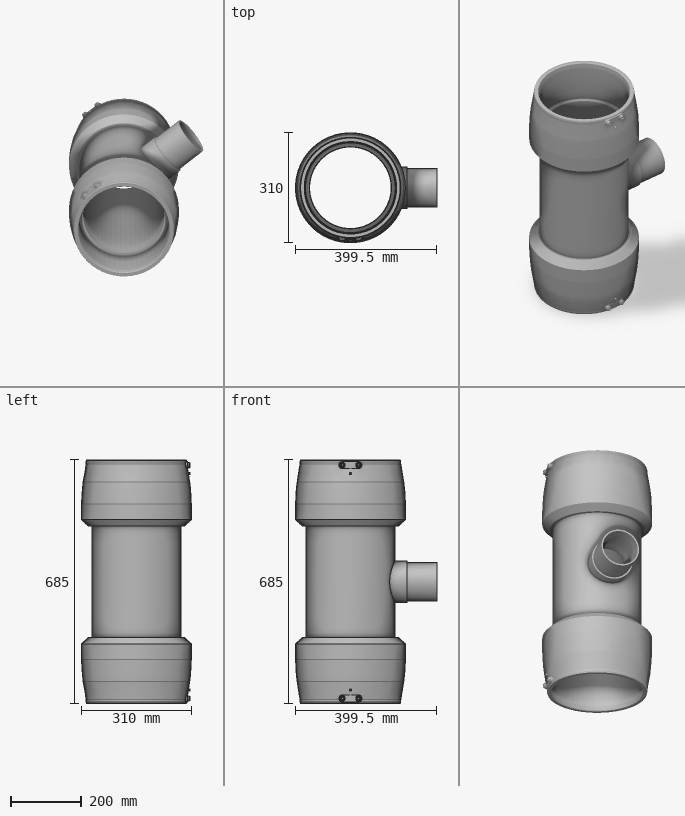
import cadquery as cq

total_height = 685.0
pipe_radius = 125.5
pipe_bore_radius = 115.0

collar_radius = 155.0
rim_radius = 140.5
rim_edge_radius = 142.0
shoulder_radius = 150.0
foot_radius = 135.0
rim_edge_drop = 5.0
rim_band_drop = 10.0
shoulder_drop = 61.0
barrel_start_drop = 124.0
barrel_end_drop = 167.0
collar_length = 185.5

socket_radius = 127.0
socket_depth = 123.0
mouth_radius = 129.0
mouth_depth = 14.0
mouth_chamfer = 1.5

branch_reach = 244.5
branch_radius = 55.0
branch_wall = 4.0
saddle_radius = 59.0
saddle_reach = 159.0

terminal_spacing = 45.0
terminal_drop = 14.0
pad_radius = 9.5
pad_reach = 144.0
base_radius = 7.5
base_reach = 148.5
terminal_radius = 6.0
terminal_reach = 151.0
terminal_hole_radius = 3.5
indicator_radius = 3.0
indicator_drop = 38.0
indicator_reach = 151.0

branch_bore_radius = branch_radius - branch_wall
half_height = total_height / 2
embed_reach = (socket_radius + rim_radius) / 2


def disc(radius, length, start):
    """Vertical cylinder rising from height start."""
    return cq.Workplane("XY").workplane(offset=start).circle(radius).extrude(length)


def branch_disc(radius, reach):
    """Cylinder along +X from the pipe axis."""
    return cq.Workplane("YZ").circle(radius).extrude(reach)


def collar():
    """Barrel-shaped collar at the upper end, solid through its middle."""
    return (
        cq.Workplane("XZ")
        .moveTo(0, half_height - collar_length)
        .lineTo(foot_radius, half_height - collar_length)
        .lineTo(collar_radius, half_height - barrel_end_drop)
        .lineTo(collar_radius, half_height - barrel_start_drop)
        .tangentArcPoint((shoulder_radius, half_height - shoulder_drop), relative=False)
        .lineTo(rim_edge_radius, half_height - rim_band_drop)
        .lineTo(rim_edge_radius, half_height - rim_edge_drop)
        .lineTo(rim_radius, half_height)
        .lineTo(0, half_height)
        .close()
        .revolve(360, (0, 0, 0), (0, 1, 0))
    )


def stud_plane(reach):
    """Plane facing -Y at the given distance from the pipe axis, origin on the end face."""
    return cq.Workplane("XZ", origin=(0, -reach, half_height))


def terminals():
    """Obround pad with two stepped, hollow-ended terminals and a fusion indicator below it."""
    ends = [(-terminal_spacing / 2, -terminal_drop), (terminal_spacing / 2, -terminal_drop)]
    pad = (
        stud_plane(embed_reach)
        .center(0, -terminal_drop)
        .slot2D(terminal_spacing + 2 * pad_radius, 2 * pad_radius)
        .extrude(pad_reach - embed_reach)
    )
    rings = (
        stud_plane(base_reach)
        .pushPoints(ends)
        .circle(terminal_radius)
        .circle(terminal_hole_radius)
        .extrude(terminal_reach - base_reach)
    )
    bases = (
        stud_plane(pad_reach)
        .pushPoints(ends)
        .circle(base_radius)
        .extrude(base_reach - pad_reach)
    )
    indicator = (
        stud_plane(embed_reach)
        .center(0, -indicator_drop)
        .circle(indicator_radius)
        .extrude(indicator_reach - embed_reach)
    )
    return pad.union(rings).union(bases).union(indicator)


def socket():
    """Cavity of the upper socket."""
    return (
        cq.Workplane("XZ")
        .moveTo(0, half_height - socket_depth)
        .lineTo(socket_radius, half_height - socket_depth)
        .lineTo(socket_radius, half_height - mouth_depth)
        .lineTo(mouth_radius, half_height - mouth_chamfer)
        .lineTo(mouth_radius + mouth_chamfer, half_height)
        .lineTo(0, half_height)
        .close()
        .revolve(360, (0, 0, 0), (0, 1, 0))
    )


upper_end = collar().union(terminals())
body = (
    disc(pipe_radius, total_height - 2 * collar_length, collar_length - half_height)
    .union(branch_disc(saddle_radius, saddle_reach))
    .union(branch_disc(branch_radius, branch_reach))
    .union(upper_end)
    .union(upper_end.mirror("XY"))
)

result = (
    body
    .cut(disc(pipe_bore_radius, total_height, -half_height))
    .cut(socket())
    .cut(socket().mirror("XY"))
    .cut(branch_disc(branch_bore_radius, branch_reach))
)